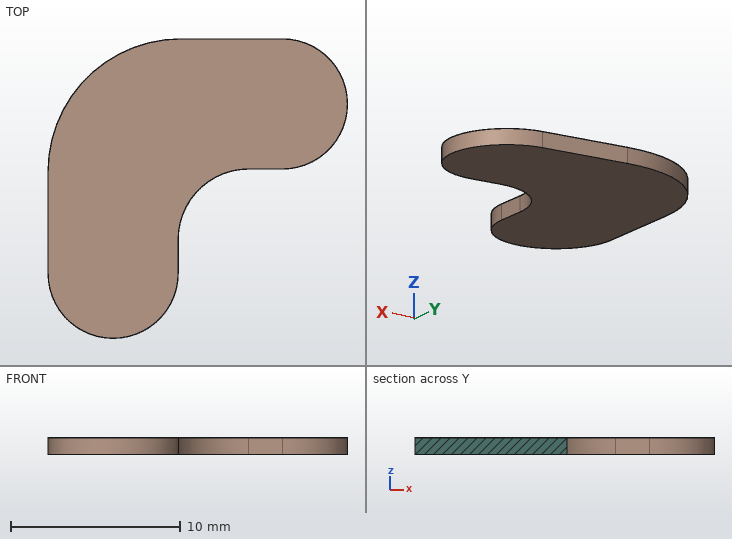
import cadquery as cq
import math

thickness = 1.0
end_radius = 3.85
arm_length = 10.0
outer_straight = 6.0
inner_straight = 2.0

outer_radius = arm_length + end_radius - outer_straight
inner_radius = arm_length - end_radius - inner_straight

outer_bend = outer_radius - end_radius
inner_bend = inner_radius + end_radius


def bend_midpoint(centre, radius):
    """Point halfway round a bend centred at (centre, -centre), on its corner side."""
    offset = centre - radius * math.sqrt(0.5)
    return (offset, -offset)


def elbow_plate():
    """Flat L-shaped plate with round tips and a rounded elbow."""
    return (
        cq.Workplane("XY")
        .moveTo(outer_bend, end_radius)
        .lineTo(arm_length, end_radius)
        .threePointArc((arm_length + end_radius, 0), (arm_length, -end_radius))
        .lineTo(inner_bend, -end_radius)
        .threePointArc(bend_midpoint(inner_bend, inner_radius), (end_radius, -inner_bend))
        .lineTo(end_radius, -arm_length)
        .threePointArc((0, -arm_length - end_radius), (-end_radius, -arm_length))
        .lineTo(-end_radius, -outer_bend)
        .threePointArc(bend_midpoint(outer_bend, outer_radius), (outer_bend, end_radius))
        .close()
        .extrude(thickness)
    )


result = elbow_plate()